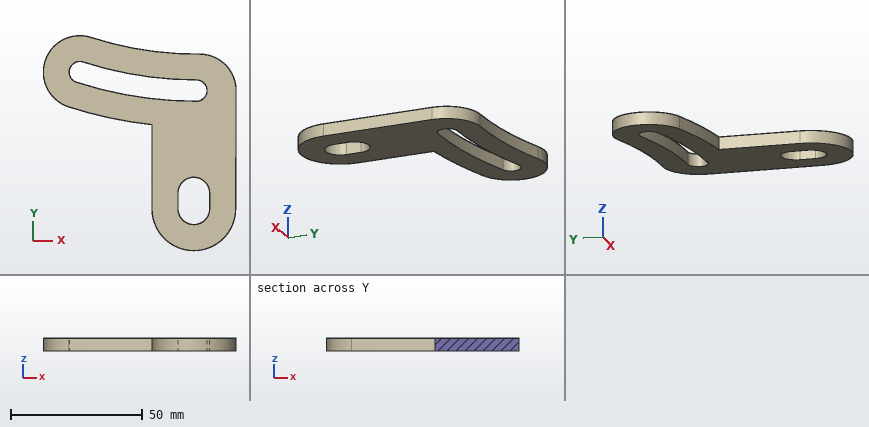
import cadquery as cq
import math

overall_length = 82.1
thickness = 5.0
leg_radius = 16.0
leg_slot_radius = 6.0
leg_slot_travel = 6.0

arm_radius = 13.95
arm_slot_radius = 4.0
sweep_radius = 143.9
pivot_x = 1.0
arm_tip_y = overall_length - leg_radius - arm_radius
tip_angle = 18.0
corner_offset = 1.2
pivot_y = arm_tip_y + sweep_radius * math.cos(math.radians(tip_angle))
corner_angle = -math.degrees(math.asin(corner_offset / sweep_radius))


def sweep_point(radius, angle):
    """Point at a radius from the pivot, angle measured from straight below."""
    a = math.radians(angle)
    return (pivot_x - radius * math.sin(a), pivot_y - radius * math.cos(a))


def tip_end_point(half_width):
    """Furthest point of the round arm end, along the arm's direction."""
    x, y = sweep_point(sweep_radius, tip_angle)
    a = math.radians(tip_angle)
    return (x - half_width * math.cos(a), y + half_width * math.sin(a))


def plate():
    inner_radius = sweep_radius - arm_radius
    outer_radius = sweep_radius + arm_radius
    corner_x, corner_y = sweep_point(sweep_radius, corner_angle)
    notch_angle = math.degrees(math.asin((pivot_x + leg_radius) / outer_radius))
    diagonal = arm_radius * math.sqrt(0.5)
    return (
        cq.Workplane("XY")
        .moveTo(-leg_radius, 0)
        .threePointArc((0, -leg_radius), (leg_radius, 0))
        .lineTo(corner_x + arm_radius, corner_y)
        .threePointArc((corner_x + diagonal, corner_y + diagonal), sweep_point(inner_radius, corner_angle))
        .threePointArc(
            sweep_point(inner_radius, (corner_angle + tip_angle) / 2),
            sweep_point(inner_radius, tip_angle),
        )
        .threePointArc(tip_end_point(arm_radius), sweep_point(outer_radius, tip_angle))
        .threePointArc(
            sweep_point(outer_radius, (tip_angle + notch_angle) / 2),
            sweep_point(outer_radius, notch_angle),
        )
        .close()
        .extrude(thickness)
    )


def arc_slot():
    inner_radius = sweep_radius - arm_slot_radius
    outer_radius = sweep_radius + arm_slot_radius
    slot_end_x, slot_end_y = sweep_point(sweep_radius, 0)
    return (
        cq.Workplane("XY")
        .moveTo(*sweep_point(outer_radius, 0))
        .threePointArc((slot_end_x + arm_slot_radius, slot_end_y), sweep_point(inner_radius, 0))
        .threePointArc(sweep_point(inner_radius, tip_angle / 2), sweep_point(inner_radius, tip_angle))
        .threePointArc(tip_end_point(arm_slot_radius), sweep_point(outer_radius, tip_angle))
        .threePointArc(sweep_point(outer_radius, tip_angle / 2), sweep_point(outer_radius, 0))
        .close()
        .extrude(thickness)
    )


def leg_slot():
    return (
        cq.Workplane("XY")
        .center(0, leg_slot_travel / 2)
        .slot2D(leg_slot_travel + 2 * leg_slot_radius, 2 * leg_slot_radius, 90)
        .extrude(thickness)
    )


result = plate().cut(arc_slot()).cut(leg_slot())